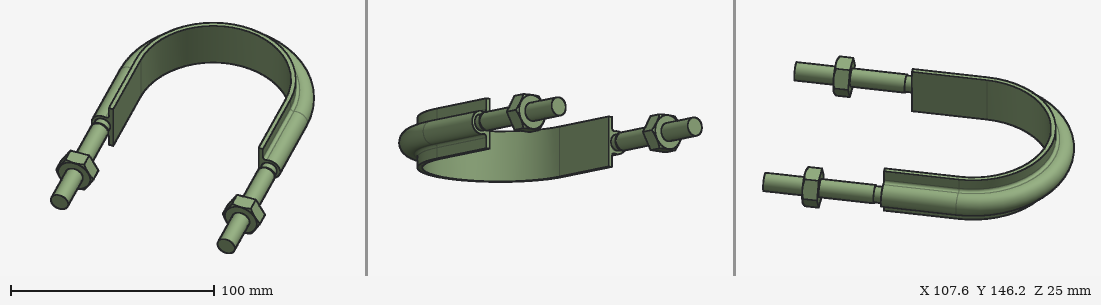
import cadquery as cq
import math


overall_width = 107.6
overall_length = 146.2
cover_outer_radius = 49.7
cover_height = 25.0
strip_inner_radius = 38.3
strip_thickness = 2.3
root_fillet_radius = 1.5
cover_leg_length = 37.5
rod_diameter = 8.2
neck_length = 4.0
stud_diameter = 9.2
nut_width_across_flats = 17.1
nut_thickness = 7.7
nut_to_stud_end = 20.2
nut_face_diameter = 16.8
nut_chamfer_angle = 30.0

nut_width_across_corners = nut_width_across_flats / math.cos(math.radians(30))
leg_x = (overall_width - nut_width_across_corners) / 2
bulge_radius = cover_outer_radius - leg_x
strip_outer_radius = strip_inner_radius + strip_thickness
cover_end_y = -cover_leg_length
rod_end_y = cover_end_y - neck_length
stud_end_y = cover_outer_radius - overall_length
nut_front_y = stud_end_y + nut_to_stud_end


def sweep_around_u(section, end_y):
    """Carry an XZ section of the +X leg around the bend and down both legs to end_y."""
    face = cq.Face.makeFromWires(section.val())
    bend = cq.Workplane(cq.Solid.revolve(face, 180, cq.Vector(0, 0, 0), cq.Vector(0, 0, 1)))
    right_leg = cq.Workplane(cq.Solid.extrudeLinear(face, cq.Vector(0, end_y, 0)))
    return bend.union(right_leg).union(right_leg.mirror("YZ"))


def make_u_rod(end_y):
    """Round bar bent into a U; at cover_end_y it is also the shape of the bore in the cover."""
    section = cq.Workplane("XZ").moveTo(leg_x, 0).circle(rod_diameter / 2)
    return sweep_around_u(section, end_y)


def make_cover():
    """Flat strip with a round bulge over the rod, blended by concave root fillets."""
    fillet_centre_x = strip_outer_radius + root_fillet_radius
    centre_distance = bulge_radius + root_fillet_radius
    fillet_centre_z = math.sqrt(centre_distance**2 - (leg_x - fillet_centre_x) ** 2)

    tangent_share = bulge_radius / centre_distance
    tangent_x = leg_x + (fillet_centre_x - leg_x) * tangent_share
    tangent_z = fillet_centre_z * tangent_share
    tangent_angle = math.atan2(tangent_z - fillet_centre_z, tangent_x - fillet_centre_x)
    middle_angle = (tangent_angle - math.pi) / 2
    middle_x = fillet_centre_x + root_fillet_radius * math.cos(middle_angle)
    middle_z = fillet_centre_z + root_fillet_radius * math.sin(middle_angle)

    half_height = cover_height / 2
    section = (
        cq.Workplane("XZ")
        .moveTo(strip_inner_radius, -half_height)
        .lineTo(strip_outer_radius, -half_height)
        .lineTo(strip_outer_radius, -fillet_centre_z)
        .threePointArc((middle_x, -middle_z), (tangent_x, -tangent_z))
        .threePointArc((cover_outer_radius, 0), (tangent_x, tangent_z))
        .threePointArc((middle_x, middle_z), (strip_outer_radius, fillet_centre_z))
        .lineTo(strip_outer_radius, half_height)
        .lineTo(strip_inner_radius, half_height)
        .close()
    )
    return sweep_around_u(section, cover_end_y).cut(make_u_rod(cover_end_y))


def make_stud(x):
    """Plain cylinder that continues the rod end."""
    return (
        cq.Workplane("XZ", origin=(x, rod_end_y, 0))
        .circle(stud_diameter / 2)
        .extrude(rod_end_y - stud_end_y)
    )


def make_nut(x):
    """Hexagon nut with corners toward +X and -X, chamfered on its -Y face only."""
    nut_back_y = nut_front_y + nut_thickness
    hexagon = (
        cq.Workplane("XZ", origin=(x, nut_back_y, 0))
        .polygon(6, nut_width_across_corners)
        .circle(stud_diameter / 2)
        .extrude(nut_thickness)
    )

    face_radius = nut_face_diameter / 2
    blank_radius = nut_width_across_corners / 2
    chamfer_depth = (blank_radius - face_radius) * math.tan(math.radians(nut_chamfer_angle))
    blank = (
        cq.Workplane("XY", origin=(x, nut_front_y, 0))
        .lineTo(face_radius, 0)
        .lineTo(blank_radius, chamfer_depth)
        .lineTo(blank_radius, nut_thickness)
        .lineTo(0, nut_thickness)
        .close()
        .revolve(360, (0, 0, 0), (0, 1, 0))
    )
    return hexagon.intersect(blank)


cover = make_cover()
rod = make_u_rod(rod_end_y)
studs = []
nuts = []
for side_x in (-leg_x, leg_x):
    studs.append(make_stud(side_x).val())
    nuts.append(make_nut(side_x).solids().val())

result = cq.Compound.makeCompound([cover.solids().val(), rod.solids().val(), *studs, *nuts])